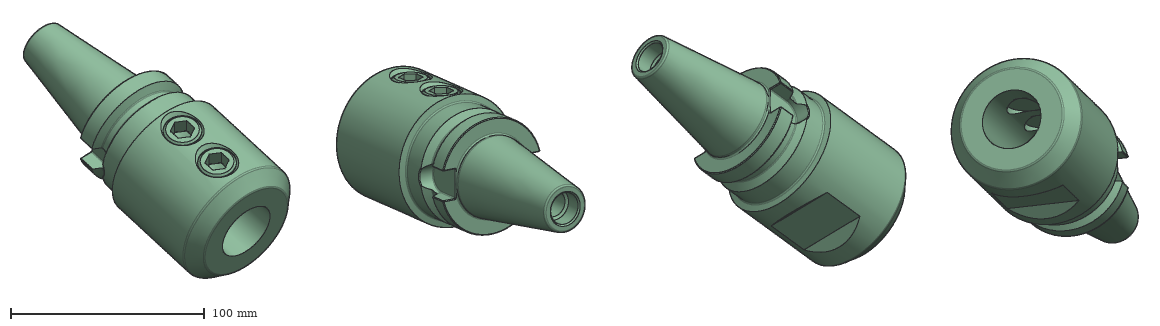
import cadquery as cq
import math

LENGTH = 165.4
FLANGE_X = 67.5
BODY_X = 99.2

TAPER_LENGTH = 65.5
GAUGE_DIA = 44.7
TAPER_RATIO = 7 / 24
TAIL_DIA = GAUGE_DIA - TAPER_RATIO * TAPER_LENGTH
TAIL_FILLET = 1.0

FLANGE_DIA = 63.0
FLANGE_CHAMFER = 0.5
FLANGE_FILLET = 0.8
GROOVE_CENTER_X = 81.9
GROOVE_FLOOR_DIA = 53.8
GROOVE_FLOOR_WIDTH = 4.3
GROOVE_SIDE_ANGLE = 30
GROOVE_SIDE_RUN = (FLANGE_DIA - GROOVE_FLOOR_DIA) / 2 * math.tan(math.radians(GROOVE_SIDE_ANGLE))
GROOVE_FILLET = 0.7

BODY_DIA = 71.5
BODY_BACK_LEAN = 0.8
BODY_BACK_FILLET = 0.8
NOSE_CHAMFER = 7.6
NOSE_FILLET = 1.3

PILOT_DIA = 17.0
PILOT_DEPTH = 9.6
PILOT_FLOOR_ANGLE = 120
PILOT_CHAMFER = 0.8
DRAWBAR_DIA = 13.9
SHANK_DIA = 32.0
SHANK_DEPTH = 62.9

SLOT_WIDTH = 16.0
SLOT_END_X = 88.0
SLOT_FLOOR_Y = 22.7
SLOT_FLOOR_FILLET = 0.5
SLOT_CHAMFER = 0.5

FLAT_Z = -30.0
FLAT_LENGTH = 25.1

SCREW_XS = (113.8, 141.7)
SCREW_DIA = 20.0
SCREW_TOP_Z = 34.4
SCREW_BOTTOM_Z = SHANK_DIA / 2
SCREW_CHAMFER = 1.3
HEX_FLATS = 10.9
HEX_DEPTH = 8.3
DRILL_TIP_ANGLE = 118
SINK_DIA = 24.3

PICK = 0.02


def turned_blank():
    """Solid of revolution: taper, flange with V groove, band and clamping body."""
    tail_r = TAIL_DIA / 2
    gauge_r = GAUGE_DIA / 2
    flange_r = FLANGE_DIA / 2
    floor_r = GROOVE_FLOOR_DIA / 2
    body_r = BODY_DIA / 2
    floor_start = GROOVE_CENTER_X - GROOVE_FLOOR_WIDTH / 2
    floor_end = GROOVE_CENTER_X + GROOVE_FLOOR_WIDTH / 2
    profile = [
        (0, 0),
        (0, tail_r),
        (TAPER_LENGTH, gauge_r),
        (FLANGE_X, gauge_r),
        (FLANGE_X, flange_r - FLANGE_CHAMFER),
        (FLANGE_X + FLANGE_CHAMFER, flange_r),
        (floor_start - GROOVE_SIDE_RUN, flange_r),
        (floor_start, floor_r),
        (floor_end, floor_r),
        (floor_end + GROOVE_SIDE_RUN, flange_r),
        (BODY_X, flange_r),
        (BODY_X + BODY_BACK_LEAN, body_r),
        (LENGTH - NOSE_CHAMFER, body_r),
        (LENGTH, body_r - NOSE_CHAMFER),
        (LENGTH, 0),
    ]
    blank = cq.Workplane("XY").polyline(profile).close().revolve(360, (0, 0, 0), (1, 0, 0))

    def ring(x, radius):
        """Selector for the circular edge of the given radius at X = x."""
        reach = radius + 0.2
        return cq.selectors.BoxSelector(
            (x - 0.2, -reach, -reach), (x + 0.2, reach, reach), boundingbox=True
        )

    blank = blank.edges(ring(0, tail_r)).fillet(TAIL_FILLET)
    blank = blank.edges(ring(FLANGE_X, gauge_r)).fillet(FLANGE_FILLET)
    blank = blank.edges(ring(BODY_X, flange_r)).fillet(BODY_BACK_FILLET)
    for x in (floor_start, floor_end):
        blank = blank.edges(ring(x, floor_r)).fillet(GROOVE_FILLET)
    for x, radius in ((LENGTH - NOSE_CHAMFER, body_r), (LENGTH, body_r - NOSE_CHAMFER)):
        blank = blank.edges(ring(x, radius)).fillet(NOSE_FILLET)
    return blank


def axial_bore():
    """Pilot bore with coned floor, drawbar hole through, shank bore from the nose."""
    pilot_r = PILOT_DIA / 2
    drawbar_r = DRAWBAR_DIA / 2
    shank_r = SHANK_DIA / 2
    cone_depth = (pilot_r - drawbar_r) / math.tan(math.radians(PILOT_FLOOR_ANGLE / 2))
    profile = [
        (0, 0),
        (0, pilot_r + PILOT_CHAMFER),
        (PILOT_CHAMFER, pilot_r),
        (PILOT_DEPTH, pilot_r),
        (PILOT_DEPTH + cone_depth, drawbar_r),
        (LENGTH - SHANK_DEPTH, drawbar_r),
        (LENGTH - SHANK_DEPTH, shank_r),
        (LENGTH, shank_r),
        (LENGTH, 0),
    ]
    return cq.Workplane("XY").polyline(profile).close().revolve(360, (0, 0, 0), (1, 0, 0))


def drive_slot(side):
    """Round-ended slot cutter on the side of +Y (side = 1) or -Y (side = -1)."""
    half = SLOT_WIDTH / 2
    start_x = TAPER_LENGTH
    center_x = SLOT_END_X - half
    cutter = (
        cq.Workplane("XZ", origin=(0, side * SLOT_FLOOR_Y, 0))
        .moveTo(start_x, -half)
        .lineTo(center_x, -half)
        .threePointArc((SLOT_END_X, 0), (center_x, half))
        .lineTo(start_x, half)
        .close()
        .extrude(-side * BODY_DIA / 2)
    )
    floor_rim = cutter.faces("<Y" if side > 0 else ">Y").edges("not(<X)")
    return cutter.newObject(floor_rim.vals()).fillet(SLOT_FLOOR_FILLET)


def chamfer_slot_mouths(holder):
    """Break the slot edges on the flange face, the flange rim and the band."""
    half = SLOT_WIDTH / 2
    end_center_x = SLOT_END_X - half
    groove_start = GROOVE_CENTER_X - GROOVE_FLOOR_WIDTH / 2 - GROOVE_SIDE_RUN
    groove_end = GROOVE_CENTER_X + GROOVE_FLOOR_WIDTH / 2 + GROOVE_SIDE_RUN

    def on_mouth(edge):
        spot = edge.positionAt(0.5)
        if abs(spot.y) < SLOT_FLOOR_Y + SLOT_FLOOR_FILLET:
            return False
        on_wall = abs(abs(spot.z) - half) < PICK and spot.x < groove_start
        on_end = (
            abs(math.hypot(spot.x - end_center_x, spot.z) - half) < PICK
            and spot.x > groove_end
            and abs(math.hypot(spot.y, spot.z) - FLANGE_DIA / 2) < PICK
        )
        return on_wall or on_end

    return holder.edges().filter(on_mouth).chamfer(SLOT_CHAMFER)


def bottom_flat():
    """Trapezoidal cutter whose ends slope outward at 45 degrees."""
    depth = BODY_DIA / 2 + FLAT_Z
    half = FLAT_LENGTH / 2
    return (
        cq.Workplane("XZ", origin=(sum(SCREW_XS) / len(SCREW_XS), 0, 0))
        .polyline([
            (-half, FLAT_Z),
            (half, FLAT_Z),
            (half + depth, FLAT_Z - depth),
            (-half - depth, FLAT_Z - depth),
        ])
        .close()
        .extrude(BODY_DIA / 2, both=True)
    )


def screw_hole(x):
    """Radial hole with a 45 degree countersink."""
    top_z = BODY_DIA / 2
    hole_r = SCREW_DIA / 2
    sink_r = SINK_DIA / 2
    profile = [
        (0, 0),
        (hole_r, 0),
        (hole_r, top_z - (sink_r - hole_r)),
        (sink_r, top_z),
        (0, top_z),
    ]
    hole = cq.Workplane("XZ").polyline(profile).close().revolve(360, (0, 0, 0), (0, 1, 0))
    return hole.translate((x, 0, 0))


def make_holder():
    """Tool holder: turned blank with its bore, drive slots, flat and screw holes."""
    holder = turned_blank().cut(axial_bore())
    for side in (1, -1):
        holder = holder.cut(drive_slot(side))
    holder = chamfer_slot_mouths(holder)
    holder = holder.cut(bottom_flat())
    for x in SCREW_XS:
        holder = holder.cut(screw_hole(x))
    return holder


def make_screw(x):
    """Set screw with a hexagon socket ending in a drill point."""
    hex_dia = HEX_FLATS / math.cos(math.radians(30))
    tip_depth = hex_dia / 2 / math.tan(math.radians(DRILL_TIP_ANGLE / 2))
    socket_floor = SCREW_TOP_Z - HEX_DEPTH
    screw = (
        cq.Workplane("XY", origin=(0, 0, SCREW_BOTTOM_Z))
        .circle(SCREW_DIA / 2)
        .extrude(SCREW_TOP_Z - SCREW_BOTTOM_Z)
        .faces(">Z")
        .chamfer(SCREW_CHAMFER)
    )
    socket = cq.Workplane("XY", origin=(0, 0, socket_floor)).polygon(6, hex_dia).extrude(HEX_DEPTH)
    tip = cq.Solid.makeCone(0, hex_dia / 2, tip_depth, pnt=(0, 0, socket_floor - tip_depth))
    return screw.cut(socket).cut(cq.Workplane(tip)).translate((x, 0, 0))


holder = make_holder()
screws = [make_screw(x) for x in SCREW_XS]

result = cq.Compound.makeCompound([holder.val(), *[screw.val() for screw in screws]])